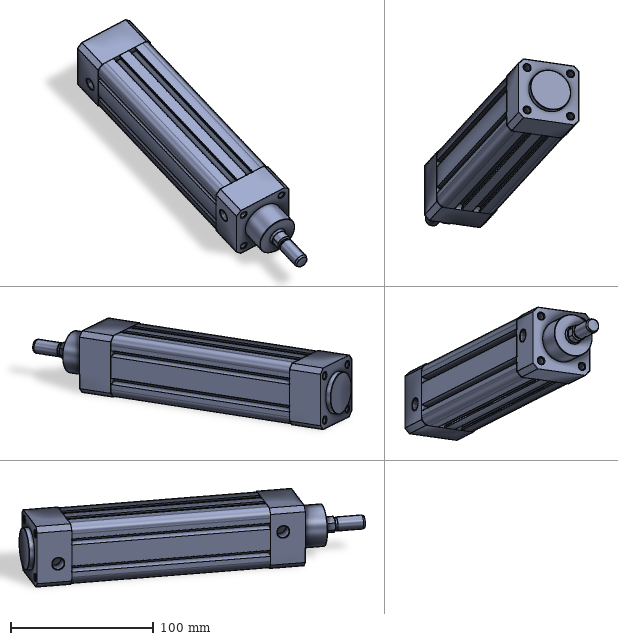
import cadquery as cq

total_length = 246.0
rear_boss_length = 4.0
cap_length = 25.0
front_cap_start = 173.0
front_boss_length = 18.0
rear_cap_start = rear_boss_length
rear_cap_end = rear_cap_start + cap_length
front_cap_end = front_cap_start + cap_length
front_boss_end = front_cap_end + front_boss_length
barrel_length = front_cap_start - rear_cap_end

body_width = 45.0
half_width = body_width / 2
cap_corner_chamfer = 3.7
barrel_corner_radius = 6.5
barrel_side_recess = 0.2
barrel_half_depth = half_width - barrel_side_recess

boss_diameter = 30.0
boss_edge_chamfer = 0.2
lip_diameter = 13.0
lip_tip_diameter = 11.8
lip_length = 2.0

port_diameter = 8.5
port_mouth_diameter = 9.3
port_depth = 9.8
port_z = 5.2
rear_port_x = 19.2
front_port_x = 182.0

screw_spacing = 32.5
screw_diameter = 4.7
screw_mouth_diameter = 6.0
screw_depth = 14.8

t_slot_offset = 6.6
t_slot_mouth = 5.2
t_slot_inner_width = 7.1
t_slot_lip = 1.5
t_slot_depth = 4.5

groove_offset = 10.0
groove_mouth = 4.5
groove_floor = 1.7
groove_depth = 5.5

rod_diameter = 11.3
thread_diameter = 10.0
relief_diameter = 8.5
shoulder_end = 223.9
shoulder_chamfer_length = 0.7
thread_start = 226.0
thread_end_chamfer = 0.7
thread_end_chamfer_length = 1.5
across_flats = 10.0


def x_cylinder(diameter, start, length):
    """Cylinder on the X axis."""
    return cq.Workplane("YZ", origin=(start, 0, 0)).circle(diameter / 2).extrude(length)


def countersunk_hole(origin, direction, diameter, mouth_diameter, depth):
    """Cutter for a blind hole with a 45 degree countersunk mouth."""
    sink_depth = (mouth_diameter - diameter) / 2
    start = cq.Vector(*origin)
    axis = cq.Vector(*direction)
    bore = cq.Solid.makeCylinder(diameter / 2, depth, start, axis)
    sink = cq.Solid.makeCone(mouth_diameter / 2, diameter / 2, sink_depth, start, axis)
    return bore.fuse(sink)


def make_cap(start, outer_face, inward, port_x, port_height):
    """Square cap with chamfered corners, four screw holes and one air port."""
    cap = (
        cq.Workplane("YZ", origin=(start, 0, 0))
        .rect(body_width, body_width)
        .extrude(cap_length)
        .edges("|X")
        .chamfer(cap_corner_chamfer)
    )
    for y in (-screw_spacing / 2, screw_spacing / 2):
        for z in (-screw_spacing / 2, screw_spacing / 2):
            hole = countersunk_hole(
                (outer_face, y, z), (inward, 0, 0), screw_diameter, screw_mouth_diameter, screw_depth
            )
            cap = cap.cut(cq.Workplane(hole))
    port = countersunk_hole(
        (port_x, -half_width, port_height), (0, 1, 0), port_diameter, port_mouth_diameter, port_depth
    )
    return cap.cut(cq.Workplane(port))


def make_rear_cap():
    cap = make_cap(rear_cap_start, rear_cap_start, 1, rear_port_x, -port_z)
    boss = x_cylinder(boss_diameter, 0, rear_boss_length).faces("<X").chamfer(boss_edge_chamfer)
    return cap.union(boss)


def make_front_cap():
    """Front cap whose boss carries a tapered lip around the rod bore."""
    cap = make_cap(front_cap_start, front_cap_end, -1, front_port_x, port_z)
    boss = x_cylinder(boss_diameter, front_cap_end, front_boss_length).faces(">X").chamfer(boss_edge_chamfer)
    lip = cq.Solid.makeCone(
        lip_diameter / 2, lip_tip_diameter / 2, lip_length, cq.Vector(front_boss_end, 0, 0), cq.Vector(1, 0, 0)
    )
    bore_length = front_boss_end + lip_length - front_cap_start
    return cap.union(boss).union(cq.Workplane(lip)).cut(x_cylinder(rod_diameter, front_cap_start, bore_length))


def t_slot_cutter(y):
    """T-slot open to the +Z face, centred on y."""
    mouth = t_slot_mouth / 2
    inner = t_slot_inner_width / 2
    lip_z = half_width - t_slot_lip
    floor_z = half_width - t_slot_depth
    outline = [
        (y - mouth, half_width),
        (y - mouth, lip_z),
        (y - inner, lip_z),
        (y - inner, floor_z),
        (y + inner, floor_z),
        (y + inner, lip_z),
        (y + mouth, lip_z),
        (y + mouth, half_width),
    ]
    return cq.Workplane("YZ", origin=(rear_cap_end, 0, 0)).polyline(outline).close().extrude(barrel_length)


def groove_cutter(z):
    """Tapered groove open to the -Y face, centred on z."""
    floor_y = groove_depth - barrel_half_depth
    outline = [
        (-barrel_half_depth, z - groove_mouth / 2),
        (floor_y, z - groove_floor / 2),
        (floor_y, z + groove_floor / 2),
        (-barrel_half_depth, z + groove_mouth / 2),
    ]
    return cq.Workplane("YZ", origin=(rear_cap_end, 0, 0)).polyline(outline).close().extrude(barrel_length)


def make_barrel():
    """Extruded barrel with two slots along each of its four sides."""
    barrel = (
        cq.Workplane("YZ", origin=(rear_cap_end, 0, 0))
        .rect(2 * barrel_half_depth, body_width)
        .extrude(barrel_length)
        .edges("|X")
        .fillet(barrel_corner_radius)
    )
    for side in (-1, 1):
        t_slot = t_slot_cutter(side * t_slot_offset)
        groove = groove_cutter(side * groove_offset)
        barrel = barrel.cut(t_slot).cut(t_slot.mirror("XY"))
        barrel = barrel.cut(groove).cut(groove.mirror("XZ"))
    return barrel


def make_rod():
    """Piston rod with two wrench flats, a thread relief and a threaded end."""
    relief_start = shoulder_end + shoulder_chamfer_length
    profile = [
        (front_cap_start, 0),
        (front_cap_start, -rod_diameter / 2),
        (shoulder_end, -rod_diameter / 2),
        (relief_start, -relief_diameter / 2),
        (thread_start, -relief_diameter / 2),
        (thread_start, -thread_diameter / 2),
        (total_length - thread_end_chamfer_length, -thread_diameter / 2),
        (total_length, thread_end_chamfer - thread_diameter / 2),
        (total_length, 0),
    ]
    rod = cq.Workplane("XY").polyline(profile).close().revolve(360, (0, 0, 0), (1, 0, 0))
    flat_start = front_boss_end + lip_length
    flat_length = relief_start - flat_start
    flat_depth = (rod_diameter - across_flats) / 2
    for side in (-1, 1):
        flat = cq.Workplane("XY").box(flat_length, flat_depth, rod_diameter).translate(
            (flat_start + flat_length / 2, side * (across_flats + flat_depth) / 2, 0)
        )
        rod = rod.cut(flat)
    return rod


rear_cap = make_rear_cap()
barrel = make_barrel()
front_cap = make_front_cap()
rod = make_rod()

result = cq.Compound.makeCompound([rear_cap.val(), barrel.val(), front_cap.val(), rod.val()])